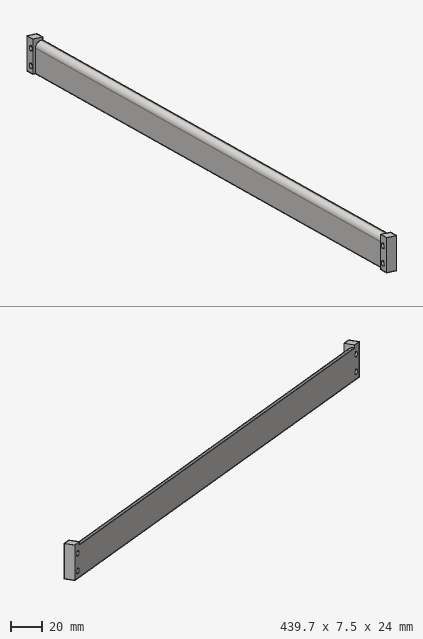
import cadquery as cq

LENGTH = 439.7
DEPTH = 7.5
HEIGHT = 24.0

BLOCK_WIDTH = 7.35
HOLE_DIAMETER = 3.5
HOLE_SPACING = 12.0
HOLE_FROM_END = 4.85
LOWER_HOLE_HEIGHT = 5.0

RAIL_DEPTH = 5.5
RAIL_HEIGHT = 22.0
ROUND_RADIUS = 4.5

END_X = LENGTH / 2
BACK_Y = DEPTH / 2
BOTTOM_Z = -HEIGHT / 2


def end_block(side):
    """Block at one end (side is -1 or +1) with two through holes along Y."""
    block_x = side * (END_X - BLOCK_WIDTH / 2)
    block = cq.Workplane("XY").box(BLOCK_WIDTH, DEPTH, HEIGHT).translate((block_x, 0, 0))

    hole_x = side * (END_X - HOLE_FROM_END)
    lower_z = BOTTOM_Z + LOWER_HOLE_HEIGHT
    hole_centres = [(hole_x, lower_z), (hole_x, lower_z + HOLE_SPACING)]
    holes = (
        cq.Workplane("XZ", origin=(0, BACK_Y, 0))
        .pushPoints(hole_centres)
        .circle(HOLE_DIAMETER / 2)
        .extrude(DEPTH)
    )
    return block.cut(holes)


def rail():
    """Bar joining the blocks, with its upper front edge rounded over."""
    rail_length = LENGTH - 2 * BLOCK_WIDTH
    rail_y = BACK_Y - RAIL_DEPTH / 2
    rail_z = BOTTOM_Z + RAIL_HEIGHT / 2
    bar = cq.Workplane("XY").box(rail_length, RAIL_DEPTH, RAIL_HEIGHT)
    bar = bar.edges("<Y and >Z").fillet(ROUND_RADIUS)
    return bar.translate((0, rail_y, rail_z))


result = rail().union(end_block(-1)).union(end_block(1))